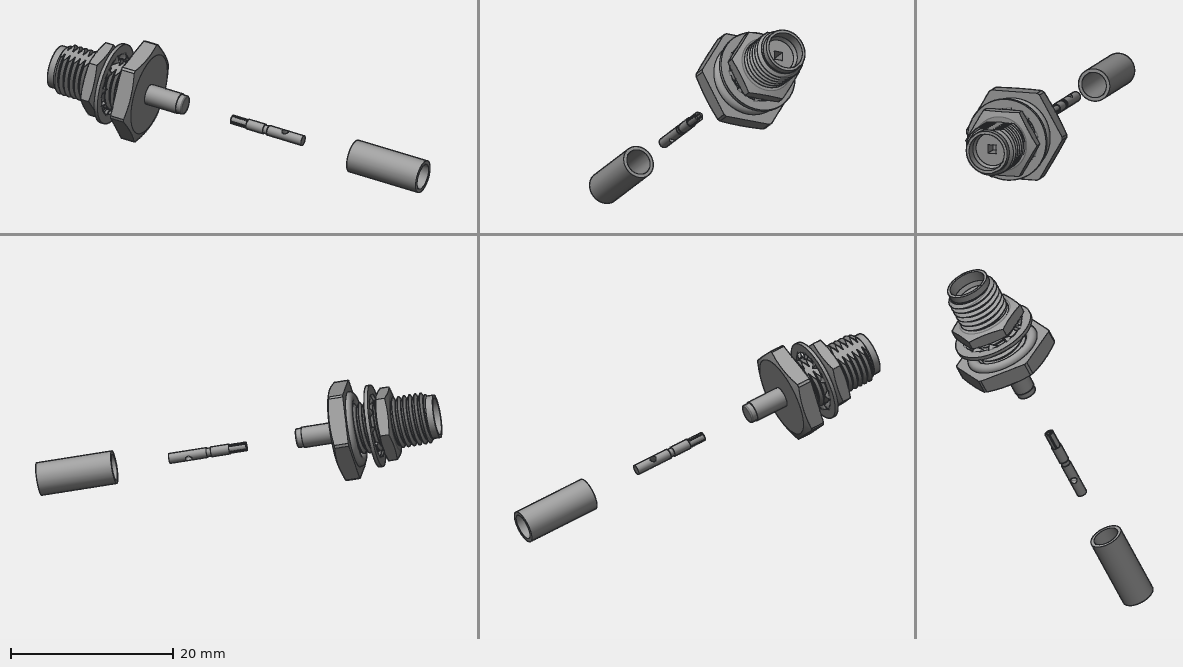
import cadquery as cq
import math


thread_pitch = 25.4 / 36
thread_crest_radius = 25.4 / 8
thread_root_radius = thread_crest_radius - 0.65 * thread_pitch
thread_crest_width = thread_pitch / 16
thread_root_gap = thread_pitch / 8
thread_foot_depth = 0.02
thread_start_x = 0.62
collar_radius = 2.67
collar_length = 0.85
barrel_flat_height = 2.68
mouth_radius = 2.3
mouth_depth = 1.42
floor_radius = 2.07
floor_depth = 2.0
contact_hole_width = 1.08
contact_hole_depth = 2.0

flange_x = 10.5
flange_length = 2.2
flange_across_flats = 11.0
flange_corner_diameter = 12.49
flange_bevel_radius = 5.07
flange_bevel_angle = 20.0

tube_radius = 1.28
tube_end_x = 16.95
tube_tip_radius = 1.18
tube_tip_end_x = 17.73
tube_tip_fillet = 0.15

ring_section_radius = 0.7
ring_center_radius = 4.0

nut_x = 5.25
nut_length = 1.75
nut_across_flats = 8.05
nut_bore_radius = thread_root_radius + 0.03
nut_bevel_radius = 3.41
nut_bevel_angle = 15.0

washer_center_x = 7.88
washer_thickness = 0.45
washer_radius = 5.1
washer_inner_radius = 3.9
tooth_count = 10
tooth_width = 1.2
tooth_twist = 35.0
tooth_tip_radius = thread_crest_radius + 0.05
tooth_root_overlap = 0.15

contact_start_x = 24.15
contact_length = 9.75
contact_radius = 0.63
contact_tip_radius = 0.55
finger_length = 2.15
finger_bore_radius = 0.3
finger_slot_width = 0.15
neck_offset = 4.45
neck_length = 0.55
neck_radius = 0.53
solder_hole_offset = 7.3
solder_hole_diameter = 0.8

ferrule_end_x = 50.39
ferrule_length = 9.5
ferrule_radius = 2.05
ferrule_bore_radius = 1.6


def revolve_about_x(points):
    """Solid of revolution about X from (x, radius) points."""
    return cq.Workplane("XY").polyline(points).close().revolve(360, (0, 0, 0), (1, 0, 0))


def cylinder_along_x(start_x, length, radius):
    return cq.Workplane("YZ", origin=(start_x, 0, 0)).circle(radius).extrude(length)


def hexagon_along_x(start_x, length, across_flats):
    """Hexagonal prism with flats facing +Z and -Z and corners on +Y and -Y."""
    across_corners = across_flats / math.cos(math.radians(30))
    return cq.Workplane("YZ", origin=(start_x, 0, 0)).polygon(6, across_corners).extrude(length)


def bevel_drop(outer_radius, inner_radius, angle):
    """Axial length of a conical bevel between two radii."""
    return (outer_radius - inner_radius) * math.tan(math.radians(angle))


def make_thread(end_x):
    """Right-hand helical ridge that starts on the -Z side of the barrel, its foot sunk in the core."""
    crest_half = thread_crest_width / 2
    root_half = (thread_pitch - thread_root_gap) / 2
    flank_slope = (root_half - crest_half) / (thread_crest_radius - thread_root_radius)
    foot_half = root_half + flank_slope * thread_foot_depth
    foot_radius = thread_root_radius - thread_foot_depth
    helix = cq.Wire.makeHelix(thread_pitch, end_x - thread_start_x, thread_root_radius)
    ridge = (
        cq.Workplane("XZ")
        .polyline([
            (foot_radius, -foot_half),
            (thread_crest_radius, -crest_half),
            (thread_crest_radius, crest_half),
            (foot_radius, foot_half),
        ])
        .close()
        .sweep(cq.Workplane(helix), isFrenet=True)
    )
    return ridge.rotate((0, 0, 0), (0, 1, 0), 90).translate((thread_start_x, 0, 0))


def make_barrel():
    barrel_end_x = flange_x + flange_length / 2
    lead_in_length = thread_crest_radius - collar_radius
    envelope = revolve_about_x([
        (0, 0),
        (0, collar_radius),
        (collar_length, collar_radius),
        (collar_length + lead_in_length, thread_crest_radius + 0.01),
        (barrel_end_x, thread_crest_radius + 0.01),
        (barrel_end_x, 0),
    ])
    core = cylinder_along_x(0, barrel_end_x, thread_root_radius)
    barrel = core.union(make_thread(barrel_end_x)).intersect(envelope)
    flat_cutter = cq.Workplane("XY", origin=(0, 0, barrel_flat_height)).rect(
        2 * flange_x, 2 * thread_crest_radius).extrude(thread_crest_radius)
    return barrel.cut(flat_cutter)


def make_flange():
    corner_radius = flange_corner_diameter / 2
    end_x = flange_x + flange_length
    bevel = bevel_drop(corner_radius, flange_bevel_radius, flange_bevel_angle)
    envelope = revolve_about_x([
        (flange_x, 0),
        (flange_x, corner_radius),
        (end_x - bevel, corner_radius),
        (end_x, flange_bevel_radius),
        (end_x, 0),
    ])
    return hexagon_along_x(flange_x, flange_length, flange_across_flats).intersect(envelope)


def make_mouth_cutter():
    """Open mouth that tapers to a flat floor with a square blind hole in its middle."""
    mouth = revolve_about_x([
        (0, 0),
        (0, mouth_radius),
        (mouth_depth, mouth_radius),
        (floor_depth, floor_radius),
        (floor_depth, 0),
    ])
    hole = cq.Workplane("YZ", origin=(floor_depth, 0, 0)).rect(
        contact_hole_width, contact_hole_width).extrude(contact_hole_depth)
    return mouth.union(hole)


def make_o_ring():
    section = cq.Workplane("XY").center(flange_x, ring_center_radius).circle(ring_section_radius)
    return section.revolve(360, (0, -ring_center_radius, 0), (1, -ring_center_radius, 0))


def make_connector_body(o_ring):
    flange_middle_x = flange_x + flange_length / 2
    tube = cylinder_along_x(flange_middle_x, tube_end_x - flange_middle_x, tube_radius)
    tip = cylinder_along_x(tube_end_x, tube_tip_end_x - tube_end_x, tube_tip_radius)
    tip = tip.faces(">X").edges().fillet(tube_tip_fillet)
    body = make_flange().union(make_barrel()).union(tube).union(tip)
    return body.cut(make_mouth_cutter()).cut(o_ring)


def make_nut(connector_body):
    """Bevelled nut whose inner thread is the exact counterpart of the barrel thread."""
    corner_radius = nut_across_flats / 2 / math.cos(math.radians(30))
    bevel = bevel_drop(corner_radius, nut_bevel_radius, nut_bevel_angle)
    end_x = nut_x + nut_length
    envelope = revolve_about_x([
        (nut_x, 0),
        (nut_x, nut_bevel_radius),
        (nut_x + bevel, corner_radius),
        (end_x - bevel, corner_radius),
        (end_x, nut_bevel_radius),
        (end_x, 0),
    ])
    bore = cylinder_along_x(nut_x, nut_length, nut_bore_radius)
    nut = hexagon_along_x(nut_x, nut_length, nut_across_flats).intersect(envelope)
    return nut.cut(bore).cut(connector_body)


def make_lock_washer():
    start_x = washer_center_x - washer_thickness / 2
    washer = cylinder_along_x(start_x, washer_thickness, washer_radius).cut(
        cylinder_along_x(start_x, washer_thickness, washer_inner_radius))
    root_radius = washer_inner_radius + tooth_root_overlap
    tooth = (
        cq.Workplane("XY", origin=(washer_center_x, 0, root_radius))
        .rect(washer_thickness, tooth_width)
        .twistExtrude(-(root_radius - tooth_tip_radius), tooth_twist)
    )
    for index in range(tooth_count):
        angle = 360 * index / tooth_count
        washer = washer.union(tooth.rotate((0, 0, 0), (1, 0, 0), angle))
    return washer


def make_contact():
    finger_end_x = contact_start_x + finger_length
    neck_start_x = contact_start_x + neck_offset
    neck_end_x = neck_start_x + neck_length
    end_x = contact_start_x + contact_length
    contact = revolve_about_x([
        (contact_start_x, 0),
        (contact_start_x, contact_tip_radius),
        (finger_end_x, contact_tip_radius),
        (finger_end_x, contact_radius),
        (neck_start_x, contact_radius),
        (neck_start_x, neck_radius),
        (neck_end_x, neck_radius),
        (neck_end_x, contact_radius),
        (end_x, contact_radius),
        (end_x, 0),
    ])
    contact = contact.cut(cylinder_along_x(contact_start_x, finger_length, finger_bore_radius))
    slot = cq.Workplane("YZ", origin=(contact_start_x, 0, 0)).rect(
        finger_slot_width, 2 * contact_radius).extrude(finger_length)
    contact = contact.cut(slot).cut(slot.rotate((0, 0, 0), (1, 0, 0), 90))
    solder_hole = cq.Workplane("XY", origin=(contact_start_x + solder_hole_offset, 0, 0)).circle(
        solder_hole_diameter / 2).extrude(contact_radius, both=True)
    return contact.cut(solder_hole)


def make_ferrule():
    start_x = ferrule_end_x - ferrule_length
    bore = cylinder_along_x(start_x, ferrule_length, ferrule_bore_radius)
    return cylinder_along_x(start_x, ferrule_length, ferrule_radius).cut(bore)


o_ring = make_o_ring()
connector_body = make_connector_body(o_ring)
nut = make_nut(connector_body)
lock_washer = make_lock_washer()
contact = make_contact()
ferrule = make_ferrule()

result = cq.Compound.makeCompound([
    connector_body.val(),
    o_ring.val(),
    nut.val(),
    lock_washer.val(),
    contact.val(),
    ferrule.val(),
])